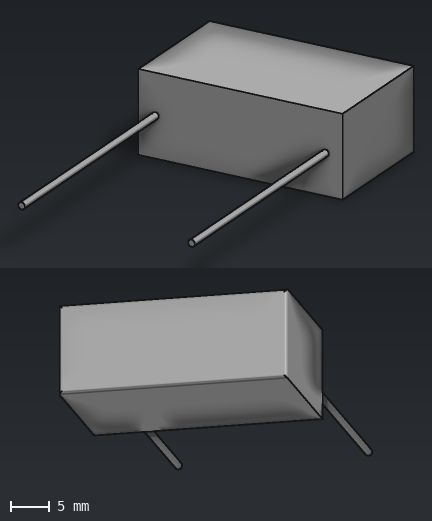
import cadquery as cq

overall_length = 54.0

case_width = 30.5
case_length = 19.0
case_height = 12.1
back_edge_radius = 0.5

lead_diameter = 1.0
lead_spacing = 25.4
lead_length = overall_length - case_length


def make_case():
    """Box with the four edges around its back face rounded."""
    box = cq.Workplane("XY").box(
        case_width, case_length, case_height, centered=(True, False, True)
    )
    return box.faces(">Y").edges().fillet(back_edge_radius)


def make_lead(x_position):
    """Round wire that starts on the lead face of the case."""
    return (
        cq.Workplane("XZ")
        .center(x_position, 0)
        .circle(lead_diameter / 2)
        .extrude(lead_length)
    )


case = make_case()
leads = [make_lead(side * lead_spacing / 2) for side in (-1, 1)]

result = cq.Compound.makeCompound([case.val(), *[lead.val() for lead in leads]])